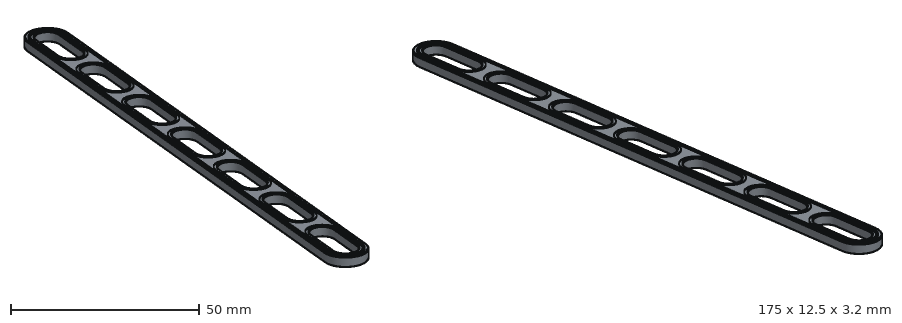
import cadquery as cq

length = 175
slot_count = 7
thickness = 3.2
pitch = length / slot_count
width = pitch / 2
edge_chamfer = 0.3

slot_width = 7
slot_straight = pitch / 2

rim_width = 1.1
recess_depth = 0.21


def rounded_bar(straight, across, height):
    """Round-ended bar along X, centred on the origin and standing on Z = 0."""
    return cq.Workplane("XY").slot2D(straight + across, across).extrude(height)


def at_slots(shape):
    """Copies of the shape, one at every slot position."""
    copies = cq.Workplane("XY")
    for index in range(slot_count):
        offset = (index - (slot_count - 1) / 2) * pitch
        copies = copies.add(shape.translate((offset, 0, 0)))
    return copies.combine()


def slot_cutter():
    """Slot-shaped cutter that flares out by the edge chamfer at the bottom and top faces."""
    flared_width = slot_width + 2 * edge_chamfer
    flare_outline = cq.Workplane("XY").slot2D(slot_straight + flared_width, flared_width)
    bottom_flare = flare_outline.extrude(edge_chamfer, taper=45)
    top_flare = bottom_flare.mirror("XY").translate((0, 0, thickness))
    return rounded_bar(slot_straight, slot_width, thickness).union(bottom_flare).union(top_flare)


bar = rounded_bar(length - width, width, thickness).faces("<Z or >Z").edges().chamfer(edge_chamfer)

recess_floor = thickness - recess_depth
recess = rounded_bar(length - width, width - 2 * rim_width, recess_depth).translate((0, 0, recess_floor))

slot_rim = rounded_bar(slot_straight, slot_width + 2 * rim_width, recess_depth)
slot_rims = at_slots(slot_rim.translate((0, 0, recess_floor)))
result = bar.cut(recess).union(slot_rims).cut(at_slots(slot_cutter()))